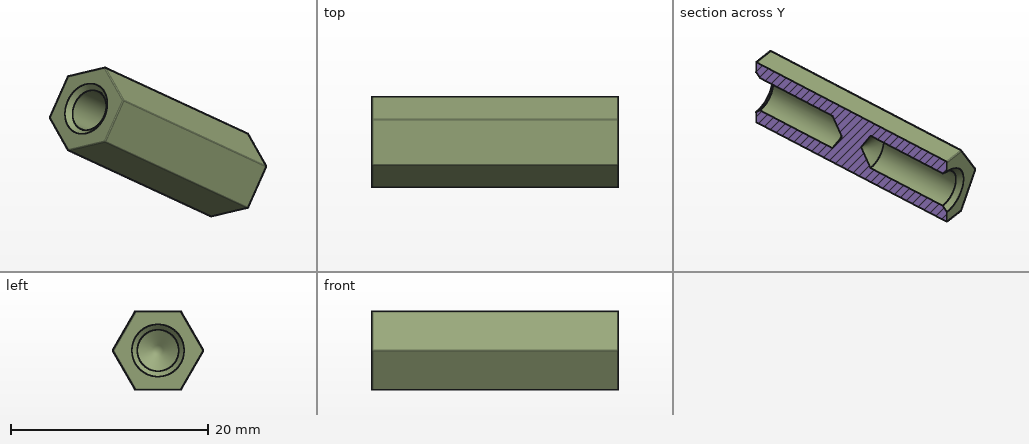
import cadquery as cq
import math

length = 25.0
across_flats = 8.0
edge_radius = 0.1

hole_diameter = 4.2
mouth_diameter = 5.3
mouth_angle = 90.0
hole_depth = 10.0
drill_tip_angle = 120.0


def hex_bar():
    """Hexagonal bar with flats on top and bottom and all edges rounded."""
    across_corners = across_flats / math.cos(math.radians(30))
    bar = cq.Workplane("YZ").polygon(6, across_corners).extrude(length)
    return bar.translate((-length / 2, 0, 0)).edges().fillet(edge_radius)


def end_hole():
    """Countersunk blind hole entering the -X end, revolved about the X axis."""
    hole_radius = hole_diameter / 2
    mouth_radius = mouth_diameter / 2
    mouth_depth = (mouth_radius - hole_radius) / math.tan(math.radians(mouth_angle / 2))
    tip_depth = hole_radius / math.tan(math.radians(drill_tip_angle / 2))
    profile = (
        cq.Workplane("XY")
        .moveTo(0, 0)
        .lineTo(0, mouth_radius)
        .lineTo(mouth_depth, hole_radius)
        .lineTo(hole_depth, hole_radius)
        .lineTo(hole_depth + tip_depth, 0)
        .close()
    )
    cutter = profile.revolve(360, (0, 0, 0), (1, 0, 0))
    return cutter.translate((-length / 2, 0, 0))


left_hole = end_hole()
right_hole = left_hole.mirror("YZ")
result = hex_bar().cut(left_hole).cut(right_hole)